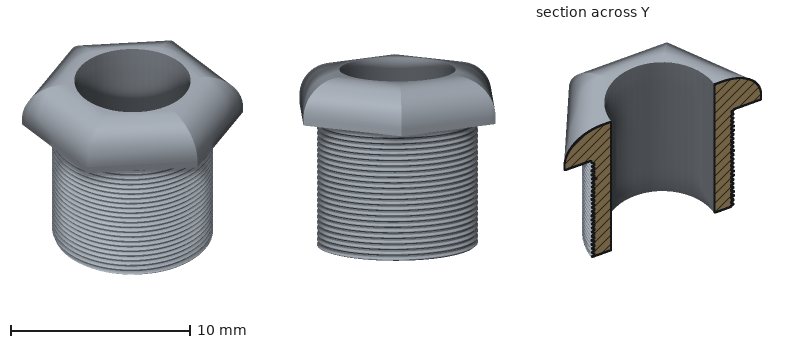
import cadquery as cq
import math

across_corners = 12.4
across_flats = across_corners * math.cos(math.radians(30))
total_height = 10.0
head_height = 2.5
edge_radius = 2.1
bore_diameter = 6.5

thread_diameter = 9.0
turns_in_shank = 23.6
shank_length = total_height - head_height
pitch = shank_length / turns_in_shank
thread_angle = 60.0
crest_width = pitch / 8
root_width = pitch / 4
cutter_turns = math.ceil(turns_in_shank) + 1
cutter_overlap = 0.01


def rounded_bar(angle):
    """Bar with rounded top edges whose sides form one opposite pair of hexagon flats."""
    half_width = across_flats / 2
    straight_height = head_height - edge_radius
    arc_offset = edge_radius * math.sin(math.radians(45))
    arc_x = half_width - edge_radius + arc_offset
    arc_z = straight_height + arc_offset
    return (
        cq.Workplane("YZ")
        .moveTo(-half_width, 0)
        .lineTo(half_width, 0)
        .lineTo(half_width, straight_height)
        .threePointArc((arc_x, arc_z), (half_width - edge_radius, head_height))
        .lineTo(edge_radius - half_width, head_height)
        .threePointArc((-arc_x, arc_z), (-half_width, straight_height))
        .close()
        .extrude(across_corners, both=True)
        .rotate((0, 0, 0), (0, 0, 1), angle)
        .translate((0, 0, shank_length))
    )


def make_head():
    """Hexagonal head, the common volume of three bars turned by 60 degrees."""
    head = rounded_bar(0)
    for angle in (60, 120):
        head = head.intersect(rounded_bar(angle))
    return head


def make_thread_groove():
    """Helical groove whose upper end meets the underside of the head on the -X side."""
    crest_radius = thread_diameter / 2
    flank_slope = math.tan(math.radians(thread_angle / 2))
    groove_width = pitch - crest_width
    depth = (groove_width - root_width) / (2 * flank_slope)
    outer_half_width = groove_width / 2 + cutter_overlap * flank_slope
    root_radius = crest_radius - depth
    outer_radius = crest_radius + cutter_overlap
    run_length = cutter_turns * pitch
    helix = cq.Wire.makeHelix(pitch, run_length, root_radius)
    groove = (
        cq.Workplane("XZ")
        .polyline([
            (root_radius, -root_width / 2),
            (outer_radius, -outer_half_width),
            (outer_radius, outer_half_width),
            (root_radius, root_width / 2),
        ])
        .close()
        .sweep(cq.Workplane(helix), isFrenet=True)
    )
    groove_start = shank_length - pitch / 2 - run_length
    return groove.rotate((0, 0, 0), (0, 0, 1), 180).translate((0, 0, groove_start))


def make_threaded_shank():
    """Threaded rod longer than the shank, trimmed square at the bottom."""
    trim_length = (cutter_turns + 2) * pitch - shank_length
    rod = (
        cq.Workplane("XY")
        .workplane(offset=-trim_length)
        .circle(thread_diameter / 2)
        .extrude(trim_length + shank_length)
    )
    trim = cq.Workplane("XY").rect(across_corners, across_corners).extrude(-trim_length)
    return rod.cut(make_thread_groove()).cut(trim)


bore = cq.Workplane("XY").circle(bore_diameter / 2).extrude(total_height)

result = make_threaded_shank().union(make_head()).cut(bore)